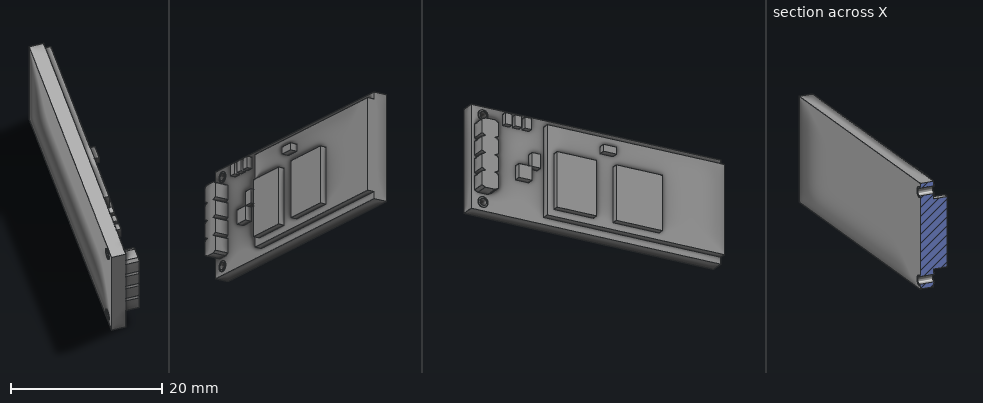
import cadquery as cq

board_length = 38.0
board_height = 15.0
board_thickness = 2.0

slab_length = 27.0
slab_height = 13.0
slab_thickness = 1.0
slab_back = board_thickness + slab_thickness

pad_diameter = 1.5
pad_thickness = 0.1
hole_diameter = 1.0
hole_edge_distance = 1.75
hole_spacing = 12.5

tall_package_thickness = 1.0
package_thickness = 0.9
package_bottom = 2.0
package_height = 8.0
left_package_start = 10.0
left_package_length = 7.0
right_package_start = 20.0
right_package_length = 6.0
tall_package_start = 17.0
tall_package_length = 2.0
tall_package_height = 1.0
tall_package_bottom = 11.5

small_count = 3
small_start = 29.25
small_pitch = 1.5
small_width = 1.0
small_height = 1.6
small_thickness = 0.75
small_edge_distance = 0.5

upper_part_start = 28.0
upper_part_length = 1.3
lower_part_end = 31.3
lower_part_length = 2.0
large_part_height = 2.0
large_part_thickness = 1.0
upper_part_bottom = 7.5

cell_count = 4
cell_pitch = 2.5
cell_flat_width = 1.5
cell_chamfer_height = 0.25
header_thickness = slab_thickness + tall_package_thickness

hole_x = board_length - hole_edge_distance
hole_heights = [(board_height + side * hole_spacing) / 2 for side in (-1, 1)]


def block(start_x, start_y, start_z, length, thickness, height):
    """Box given by its lowest corner and its sizes along X, Y and Z."""
    return cq.Workplane("XY").box(length, thickness, height, centered=False).translate(
        (start_x, start_y, start_z)
    )


def cylinder_along_y(diameter, start_y, length, center_z):
    """Cylinder on the plated hole axis, running toward +Y from start_y."""
    base = cq.Vector(hole_x, start_y, center_z)
    return cq.Workplane(cq.Solid.makeCylinder(diameter / 2, length, base, cq.Vector(0, 1, 0)))


def slab_with_packages():
    slab_bottom = (board_height - slab_height) / 2
    slab = block(0, board_thickness, slab_bottom, slab_length, slab_thickness, slab_height)
    for start, length in (
        (left_package_start, left_package_length),
        (right_package_start, right_package_length),
    ):
        slab = slab.union(
            block(start, slab_back, package_bottom, length, package_thickness, package_height)
        )
    tall_package = block(
        tall_package_start,
        slab_back,
        tall_package_bottom,
        tall_package_length,
        tall_package_thickness,
        tall_package_height,
    )
    return slab.union(tall_package)


def add_small_components(body):
    bottom = board_height - small_edge_distance - small_height
    for index in range(small_count):
        start = small_start + index * small_pitch
        body = body.union(
            block(start, board_thickness, bottom, small_width, small_thickness, small_height)
        )
    return body


def add_large_components(body):
    lower_part_start = lower_part_end - lower_part_length
    lower_part_bottom = upper_part_bottom - large_part_height
    for start, bottom, length in (
        (upper_part_start, upper_part_bottom, upper_part_length),
        (lower_part_start, lower_part_bottom, lower_part_length),
    ):
        body = body.union(
            block(start, board_thickness, bottom, length, large_part_thickness, large_part_height)
        )
    return body


def header_cell(center_z):
    """Eight-sided cell: full pitch wide in the middle, narrowing to a short flat at its Z ends."""
    half_pitch = cell_pitch / 2
    half_flat = cell_flat_width / 2
    half_side = half_pitch - cell_chamfer_height
    outline = [
        (half_flat, half_pitch),
        (half_pitch, half_side),
        (half_pitch, -half_side),
        (half_flat, -half_pitch),
        (-half_flat, -half_pitch),
        (-half_pitch, -half_side),
        (-half_pitch, half_side),
        (-half_flat, half_pitch),
    ]
    cell = cq.Workplane("XZ").polyline(outline).close().extrude(-header_thickness)
    return cell.translate((hole_x, board_thickness, center_z))


def add_header(body):
    lowest_center = (board_height - (cell_count - 1) * cell_pitch) / 2
    for index in range(cell_count):
        body = body.union(header_cell(lowest_center + index * cell_pitch))
    return body


def add_plated_holes(body):
    barrel_length = board_thickness + 2 * pad_thickness
    for center_z in hole_heights:
        body = body.union(cylinder_along_y(pad_diameter, -pad_thickness, barrel_length, center_z))
        body = body.cut(cylinder_along_y(hole_diameter, -pad_thickness, barrel_length, center_z))
    return body


board = block(0, 0, 0, board_length, board_thickness, board_height)
board = board.union(slab_with_packages())
board = add_small_components(board)
board = add_large_components(board)
board = add_header(board)
result = add_plated_holes(board)